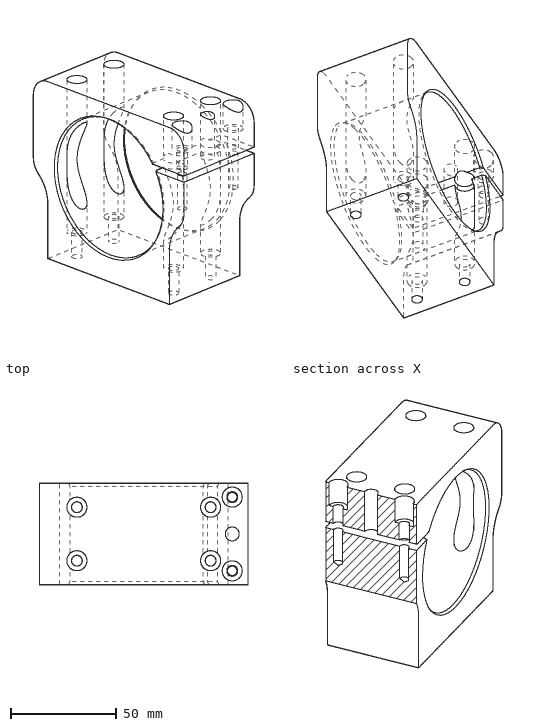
import cadquery as cq
import math

width = 99.06
depth = 48.26
top_z = 43.18
bottom_z = -48.26
base_width = 80.01

corner_radius = 9.525
shoulder_radius = 9.525
neck_radius = 19.05
taper_angle = math.radians(45)
neck_end_z = -20.32

bore_diameter = 70.0
bore_chamfer_width = 0.75
bore_chamfer_depth = 1.5
slot_bottom_z = 17.78
slot_height = 3.175
slot_top_z = slot_bottom_z + slot_height

counterbore_diameter = 9.525

mount_x = 31.75
mount_y = 12.7
mount_hole_diameter = 5.0
mount_seat_z = -35.56

clamp_x = 42.0
clamp_y = 17.5
clamp_hole_diameter = 5.2
clamp_tap_diameter = 4.5
clamp_seat_z = 30.48
clamp_tap_end_z = 0.0
drill_point_angle = math.radians(118)
jack_hole_diameter = 6.6


def outline_side():
    """Points of the right side between the base and the top, as (x, z)."""
    half_base = base_width / 2
    half_width = width / 2
    step = half_width - half_base
    sin_a = math.sin(taper_angle)
    cos_a = math.cos(taper_angle)
    sin_half = math.sin(taper_angle / 2)
    cos_half = math.cos(taper_angle / 2)
    taper_run = step - (neck_radius + shoulder_radius) * (1 - cos_a)
    taper_rise = taper_run / math.tan(taper_angle)

    neck_mid = (half_base + neck_radius * (1 - cos_half), neck_end_z + neck_radius * sin_half)
    neck_top = (half_base + neck_radius * (1 - cos_a), neck_end_z + neck_radius * sin_a)
    shoulder_low = (neck_top[0] + taper_run, neck_top[1] + taper_rise)
    shoulder_top = (half_width, shoulder_low[1] + shoulder_radius * sin_a)
    shoulder_mid = (
        half_width - shoulder_radius * (1 - cos_half),
        shoulder_top[1] - shoulder_radius * sin_half,
    )
    return neck_mid, neck_top, shoulder_low, shoulder_mid, shoulder_top


def make_body():
    """Half outline mirrored about the bore axis, extruded along Y."""
    neck_mid, neck_top, shoulder_low, shoulder_mid, shoulder_top = outline_side()
    half_body = (
        cq.Workplane("XZ")
        .moveTo(0, bottom_z)
        .lineTo(base_width / 2, bottom_z)
        .lineTo(base_width / 2, neck_end_z)
        .threePointArc(neck_mid, neck_top)
        .lineTo(*shoulder_low)
        .threePointArc(shoulder_mid, shoulder_top)
        .lineTo(width / 2, top_z - corner_radius)
        .radiusArc((width / 2 - corner_radius, top_z), -corner_radius)
        .lineTo(0, top_z)
        .close()
        .extrude(depth / 2, both=True)
    )
    return half_body.union(half_body.mirror("YZ"))


def vertical_cylinder(x, y, diameter, low_z, high_z):
    """Upright cylinder at (x, y) between two heights."""
    return (
        cq.Workplane("XY", origin=(x, y, low_z))
        .circle(diameter / 2)
        .extrude(high_z - low_z)
    )


def cut_bore(body):
    """Bore through the block, with a steep lead-in chamfer at each mouth."""
    body = body.cut(cq.Workplane("XZ").circle(bore_diameter / 2).extrude(depth / 2, both=True))
    for side in (-1, 1):
        lead_in = cq.Solid.makeCone(
            bore_diameter / 2 + bore_chamfer_width,
            bore_diameter / 2,
            bore_chamfer_depth,
            pnt=cq.Vector(0, side * depth / 2, 0),
            dir=cq.Vector(0, -side, 0),
        )
        body = body.cut(cq.Workplane(obj=lead_in))
    return body


def cut_slot(body):
    """Slot that opens the bore to the +X side."""
    slot = cq.Workplane("XY").box(width / 2, depth, slot_height, centered=(False, True, False))
    return body.cut(slot.translate((0, 0, slot_bottom_z)))


def cut_mount_holes(body):
    """Four deep counterbored holes that break into the bore wall."""
    for x in (-mount_x, mount_x):
        for y in (-mount_y, mount_y):
            body = body.cut(vertical_cylinder(x, y, counterbore_diameter, mount_seat_z, top_z))
            body = body.cut(vertical_cylinder(x, y, mount_hole_diameter, bottom_z, top_z))
    return body


def cut_clamp_holes(body):
    """Two counterbored clearance holes above the slot, with blind tapped holes below it."""
    tip_height = clamp_tap_diameter / 2 / math.tan(drill_point_angle / 2)
    for y in (-clamp_y, clamp_y):
        body = body.cut(vertical_cylinder(clamp_x, y, counterbore_diameter, clamp_seat_z, top_z))
        body = body.cut(vertical_cylinder(clamp_x, y, clamp_hole_diameter, slot_bottom_z, top_z))
        body = body.cut(vertical_cylinder(clamp_x, y, clamp_tap_diameter, clamp_tap_end_z, slot_bottom_z))
        tip = cq.Solid.makeCone(
            clamp_tap_diameter / 2,
            0,
            tip_height,
            pnt=cq.Vector(clamp_x, y, clamp_tap_end_z),
            dir=cq.Vector(0, 0, -1),
        )
        body = body.cut(cq.Workplane(obj=tip))
    return body


def cut_jack_hole(body):
    """Plain hole through the upper jaw, opening onto the slot."""
    return body.cut(vertical_cylinder(clamp_x, 0, jack_hole_diameter, slot_top_z, top_z))


result = make_body()
result = cut_bore(result)
result = cut_slot(result)
result = cut_mount_holes(result)
result = cut_clamp_holes(result)
result = cut_jack_hole(result)